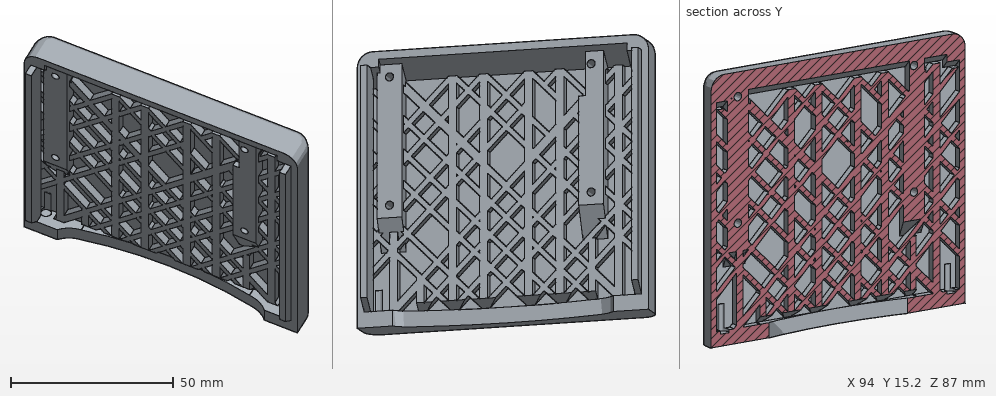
import cadquery as cq
import math


width = 94.0
height = 87.0
body_depth = 11.4
corner_radius = 5.0
top_edge_radius = 4.0

floor_depth = 6.0
ledge_height = 5.0
side_wall = 4.3
corner_top = height - corner_radius
middle_top = 84.5
middle_half_width = 40.0
cavity_half_width = width / 2 - side_wall

rail_width = 2.1
rail_length = 3.8
rail_root_depth = 3.0
undercut_half_width = cavity_half_width + rail_width

rib_depth = 3.4
upright_width = 2.6
upright_offsets = (7.2, 17.3, 36.3)
diagonal_width = 1.8
diagonal_heights = (-12.2, -2.3, 12.2, 22.2, 32.7, 42.3, 61.4, 71.3, 85.8, 95.9)
stub_offset = 27.7
stub_width = 2.35
left_stub_top = 15.5
right_stub_top = 24.4
clearance_half_width = stub_offset + stub_width / 2

thickenings = (
    (43.8, -32.5, -upright_offsets[0]),
    (42.8, -upright_offsets[0], 0),
    (41.3, stub_offset, upright_offsets[2]),
)
gaps = {
    (-1, 61.4): (-12.2, -upright_offsets[0]),
    (1, 85.8): (upright_offsets[1], 21.1),
    (1, 71.3): (13.8, upright_offsets[1]),
}

pad_depth = 1.5
pad_width = 8.0
pad_centers = (-37.0, 28.0)
pad_bottom = 34.6
ramp_bottom = 24.5
notch_width = 2.2
notch_bottom = 69.1
screw_diameter = 2.5
screw_heights = (38.5, 79.1)

sweep_half_width = 30.3
recess_half_width = 35.6
recess_end_depth = 3.0
end_arc_radius = 10.0

socket_diameter = 3.5
socket_offset = 41.8
socket_depth = 4.7
socket_bottom = 4.0
socket_top = 12.9


def block(x_min, x_max, y_min, y_max, z_min, z_max):
    size = (x_max - x_min, y_max - y_min, z_max - z_min)
    return cq.Workplane("XY").box(*size, centered=False).translate((x_min, y_min, z_min))


def prism_along_x(x_min, x_max, points):
    """Extrude a (Y, Z) outline from x_min to x_max."""
    return cq.Workplane("YZ").polyline(points).close().extrude(x_max - x_min).translate((x_min, 0, 0))


def shell():
    return (
        block(-width / 2, width / 2, 0, body_depth, 0, height)
        .edges(">Y and >Z").fillet(top_edge_radius)
        .edges(">Y and |Z").fillet(corner_radius)
    )


def cavity_part(half_width, top):
    """Cavity whose upper wall slopes 45 degrees down to the floor."""
    return prism_along_x(-half_width, half_width, [
        (0, ledge_height),
        (floor_depth, ledge_height),
        (floor_depth, top - floor_depth),
        (0, top),
    ])


def cavity():
    undercut = cavity_part(undercut_half_width, corner_top).intersect(
        block(-undercut_half_width, undercut_half_width, rail_root_depth, floor_depth, 0, height))
    return (
        cavity_part(cavity_half_width, corner_top)
        .union(cavity_part(middle_half_width, middle_top))
        .union(undercut)
    )


def rail(side):
    inner = cavity_half_width
    x_min, x_max = sorted((side * inner, side * (inner + rail_width)))
    return prism_along_x(x_min, x_max, [
        (0, ledge_height),
        (-rail_length, ledge_height + rail_length),
        (-rail_length, corner_top),
        (0, corner_top),
    ])


def diagonal(side, crossing, start, end):
    """Rib at 45 degrees, falling outwards on the given side, between two X positions
    measured towards that side."""
    half_rise = diagonal_width / math.sqrt(2)
    points = [(side * x, crossing - x + rise) for x, rise in (
        (start, -half_rise), (end, -half_rise), (end, half_rise), (start, half_rise))]
    return (
        cq.Workplane("XZ").polyline(points).close()
        .extrude(rib_depth - floor_depth).translate((0, rib_depth, 0))
    )


def upright(center, rib_width, top):
    return block(center - rib_width / 2, center + rib_width / 2, rib_depth, floor_depth, ledge_height, top)


def diagonals(side):
    ribs = [diagonal(side, *thickening) for thickening in thickenings]
    for crossing in diagonal_heights:
        if (side, crossing) in gaps:
            gap_start, gap_end = gaps[side, crossing]
            ribs.append(diagonal(side, crossing, -width / 2, gap_start))
            ribs.append(diagonal(side, crossing, gap_end, width / 2))
        else:
            ribs.append(diagonal(side, crossing, -width / 2, width / 2))
    return ribs


def lattice():
    ribs = [
        upright(-stub_offset, stub_width, left_stub_top),
        upright(stub_offset, stub_width, right_stub_top),
    ]
    for side in (-1, 1):
        ribs += [upright(side * offset, upright_width, height) for offset in upright_offsets]
        ribs += diagonals(side)
    first, *others = [rib.val() for rib in ribs]
    grid = cq.Workplane(first.fuse(*others))
    corner_limit = block(-undercut_half_width, undercut_half_width, rib_depth, floor_depth,
                         ledge_height, corner_top - floor_depth)
    middle_limit = block(-middle_half_width, middle_half_width, rib_depth, floor_depth,
                         ledge_height, middle_top - floor_depth)
    foot_clearance = prism_along_x(-clearance_half_width, clearance_half_width, [
        (rib_depth, ledge_height),
        (floor_depth, ledge_height),
        (rib_depth, ledge_height + floor_depth - rib_depth),
    ])
    return grid.intersect(corner_limit.union(middle_limit)).cut(foot_clearance)


def pad(center):
    """Pad with a ramp from its lower edge to the cavity floor."""
    return prism_along_x(center - pad_width / 2, center + pad_width / 2, [
        (pad_depth, pad_bottom),
        (floor_depth, ramp_bottom),
        (floor_depth, height),
        (pad_depth, height),
    ]).intersect(cavity())


def pads():
    left, right = pad_centers
    notch_left = right - pad_width / 2
    notch = block(notch_left, notch_left + notch_width, 0, floor_depth, notch_bottom, height)
    return pad(left).union(pad(right).cut(notch))


def screw_holes():
    points = [(x, z) for x in pad_centers for z in screw_heights]
    return cq.Workplane("XZ").pushPoints(points).circle(screw_diameter / 2).extrude(-body_depth)


def bottom_wall_recess():
    """Recess in plan: a shallow middle arc reaching the floor depth, with a tighter arc at each end."""
    chord = math.hypot(recess_half_width - sweep_half_width, recess_end_depth)
    bulge = end_arc_radius - math.sqrt(end_arc_radius ** 2 - chord ** 2 / 4)
    middle_x = (recess_half_width + sweep_half_width) / 2 + bulge * recess_end_depth / chord
    middle_y = recess_end_depth / 2 + bulge * (recess_half_width - sweep_half_width) / chord
    return (
        cq.Workplane("XY").moveTo(-recess_half_width, 0)
        .threePointArc((-middle_x, middle_y), (-sweep_half_width, recess_end_depth))
        .threePointArc((0, floor_depth), (sweep_half_width, recess_end_depth))
        .threePointArc((middle_x, middle_y), (recess_half_width, 0))
        .close().extrude(ledge_height)
    )


def pin_sockets():
    return (
        cq.Workplane("XY").workplane(offset=socket_bottom)
        .pushPoints([(-socket_offset, socket_depth), (socket_offset, socket_depth)])
        .circle(socket_diameter / 2).extrude(socket_top - socket_bottom)
    )


result = shell().cut(cavity()).union(lattice()).union(pads())
for side in (-1, 1):
    result = result.union(rail(side))
result = result.cut(screw_holes()).cut(bottom_wall_recess()).cut(pin_sockets())